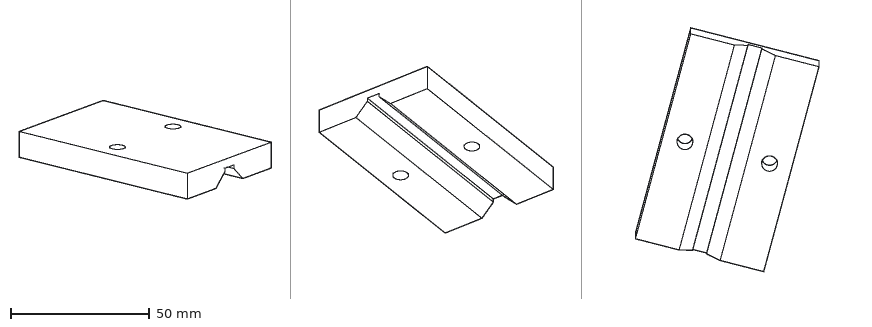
import cadquery as cq

length = 78.75
width = 48.0
thickness = 9.85

groove_width = 15.35
slot_width = 5.2
groove_depth = 6.45
flank_height = (groove_width - slot_width) / 2

hole_diameter = 5.7
hole_spacing = 31.65


def make_plate():
    """Plate centred in X and Y, with its underside at Z = 0."""
    return cq.Workplane("XY").box(length, width, thickness, centered=(True, True, False))


def make_groove():
    """Cutter for the V-groove and its relief slot."""
    profile = [
        (-groove_width / 2, 0),
        (-slot_width / 2, flank_height),
        (-slot_width / 2, groove_depth),
        (slot_width / 2, groove_depth),
        (slot_width / 2, flank_height),
        (groove_width / 2, 0),
    ]
    return cq.Workplane("YZ").polyline(profile).close().extrude(length / 2, both=True)


def make_holes():
    """Cutters for the pair of through holes."""
    centers = [(0, -hole_spacing / 2), (0, hole_spacing / 2)]
    return cq.Workplane("XY").pushPoints(centers).circle(hole_diameter / 2).extrude(thickness)


result = make_plate().cut(make_groove()).cut(make_holes())